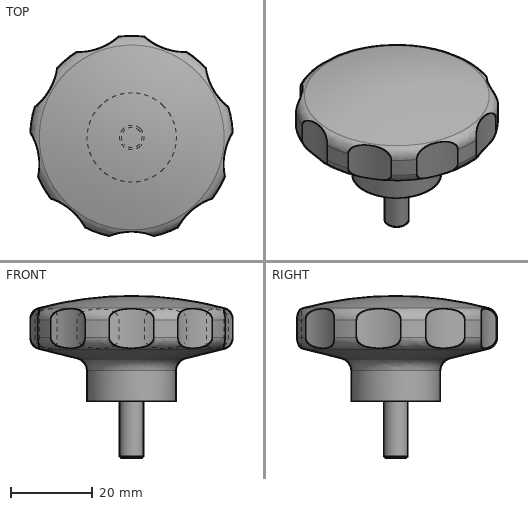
import cadquery as cq
import math

stud_radius = 3.0
stud_length = 14.0
stud_chamfer = 0.5

hub_radius = 11.0
hub_fillet = 3.0

head_radius = 25.0
head_height = 26.0
dome_radius = 88.0
cone_edge_height = 13.45
cone_angle = 14.0
rim_fillet = 3.0

scallop_count = 9
scallop_radius = 15.0
scallop_half_width = 5.53
first_scallop_angle = -90.0

pick_margin = 0.1


def dome_height(radius):
    """Height of the spherical top at a distance from the axis."""
    return head_height - dome_radius + math.sqrt(dome_radius**2 - radius**2)


def circle_edge(radius, height):
    """Selector for the circular edge of a given radius around the axis."""
    reach = radius + pick_margin
    return cq.selectors.BoxSelector(
        (-reach, -reach, height - pick_margin),
        (reach, reach, height + pick_margin),
        boundingbox=True,
    )


def knob_body():
    """Hub and head as one turned body, with the rim and the hub corner rounded."""
    cone_rise = (head_radius - hub_radius) * math.tan(math.radians(cone_angle))
    cone_root_height = cone_edge_height - cone_rise
    dome_edge_height = dome_height(head_radius)
    dome_middle = head_radius / 2
    body = (
        cq.Workplane("XZ")
        .lineTo(hub_radius, 0)
        .lineTo(hub_radius, cone_root_height)
        .lineTo(head_radius, cone_edge_height)
        .lineTo(head_radius, dome_edge_height)
        .threePointArc((dome_middle, dome_height(dome_middle)), (0, head_height))
        .close()
        .revolve(360, (0, 0, 0), (0, 1, 0))
    )
    body = body.edges(circle_edge(hub_radius, cone_root_height)).fillet(hub_fillet)
    for rim_height in (cone_edge_height, dome_edge_height):
        body = body.edges(circle_edge(head_radius, rim_height)).fillet(rim_fillet)
    return body


def scallop_cutters():
    """Upright cylinders that cross the rim circle at the scallop edges."""
    edge_distance = math.sqrt(head_radius**2 - scallop_half_width**2)
    center_distance = edge_distance + math.sqrt(scallop_radius**2 - scallop_half_width**2)
    return (
        cq.Workplane("XY")
        .polarArray(center_distance, first_scallop_angle, 360, scallop_count)
        .circle(scallop_radius)
        .extrude(head_height)
    )


def stud():
    """Stud hanging below the hub, chamfered at its free end."""
    shank = cq.Workplane("XY").circle(stud_radius).extrude(-stud_length)
    return shank.faces("<Z").chamfer(stud_chamfer)


result = knob_body().cut(scallop_cutters()).union(stud())